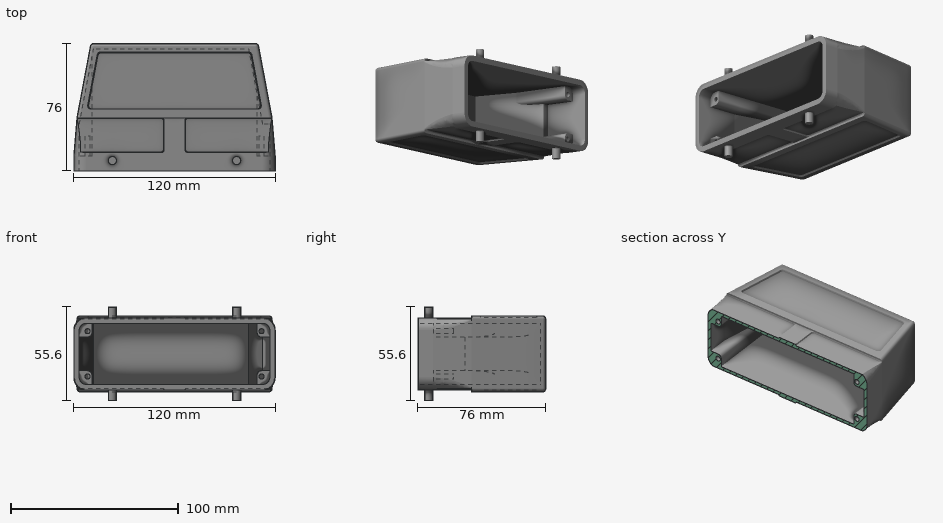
import cadquery as cq
import math


rim_half_width = 60.0
neck_half_height = 21.5
collar_depth = 9.0
collar_corner_radius = 7.5
mid_neck_y = 14.0
mid_neck_corner_radius = 7.0
shoulder_corner_radius = 1.5
corner_clearance = 1.0

shoulder_y = 31.8
shoulder_half_width = 58.1
back_y = 76.0
back_half_width = 49.8
hood_half_height = 22.65
hood_edge_radius = 2.0

back_wall = 3.2
mouth_half_width = 56.8
mouth_half_height = 18.2
mouth_corner_radius = 4.4
mouth_depth = 28.0
ledge_x = 52.5
chamber_back_y = back_y - back_wall
chamber_back_left_x = -48.3
chamber_back_right_x = 44.2

post_front_y = 9.0
post_inner_x = 49.2
post_inner_z = 10.0
post_corner_radius = 2.6
screw_x = 51.8
screw_z = 13.5
screw_diameter = 3.0
screw_depth = 12.0

pin_diameter = 4.9
pin_x = 37.0
pin_y = 6.3
pin_tip_z = 27.8
pin_root_z = (mouth_half_height + neck_half_height) / 2

recess_depth = 1.0
recess_draft = 0.5
recess_near_y = 37.0
recess_far_y = 70.9
recess_side_margin = 5.0
recess_corner_radius = 2.0

pocket_depth = 0.85
pocket_draft_angle = 25.0
pocket_inner_x = 6.2
pocket_outer_x = rim_half_width + 10.0
pocket_near_y = 11.1
pocket_corner_radius = 1.7

SIDES = (-1, 1)


def width_between(y, start_y, start_width, end_y, end_width):
    """Half width at y on the straight line between two known half widths."""
    return start_width + (end_width - start_width) * (y - start_y) / (end_y - start_y)


def neck_half_width(y):
    return width_between(y, collar_depth, rim_half_width, shoulder_y, shoulder_half_width)


def hood_half_width(y):
    return width_between(y, shoulder_y, shoulder_half_width, back_y, back_half_width)


def across_y(y):
    """Workplane facing +Y at depth y: its x axis is -X and its y axis is Z."""
    return cq.Workplane(cq.Plane(origin=(0, y, 0), xDir=(-1, 0, 0), normal=(0, 1, 0)))


def rounded_prism(start_y, end_y, half_width, half_height, radius):
    """Rounded rectangle extruded along Y."""
    block = across_y(start_y).rect(2 * half_width, 2 * half_height).extrude(end_y - start_y)
    return block.edges("|Y").fillet(radius)


def slab(points, half_height):
    """Polygon in XY extruded to half_height on both sides of the XY plane."""
    return cq.Workplane("XY").polyline(points).close().extrude(half_height, both=True)


def both_faces(tool):
    """The tool together with its mirror image across the XY plane."""
    return tool.union(tool.mirror("XY"))


def make_collar():
    return rounded_prism(0, collar_depth, rim_half_width, neck_half_height, collar_corner_radius)


def neck_corner_section(y, radius):
    """Material to remove around the rounded corner at +X +Z of the neck at depth y."""
    side = neck_half_width(y)
    top = neck_half_height
    arc_offset = radius * (1 - math.sqrt(0.5))
    section = (
        across_y(y)
        .moveTo(-side, top - radius)
        .threePointArc((-side + arc_offset, top - arc_offset), (-side + radius, top))
        .lineTo(-side + radius, top + corner_clearance)
        .lineTo(-side - corner_clearance, top + corner_clearance)
        .lineTo(-side - corner_clearance, top - radius)
        .close()
    )
    return section.val()


def make_neck():
    """Narrows towards the hood while its corner radius shrinks."""
    outline = [
        (-rim_half_width, collar_depth),
        (rim_half_width, collar_depth),
        (shoulder_half_width, shoulder_y),
        (-shoulder_half_width, shoulder_y),
    ]
    corner_sections = [
        neck_corner_section(collar_depth, collar_corner_radius),
        neck_corner_section(mid_neck_y, mid_neck_corner_radius),
        neck_corner_section(shoulder_y, shoulder_corner_radius),
    ]
    corner = cq.Workplane(cq.Solid.makeLoft(corner_sections))
    corners = both_faces(corner.union(corner.mirror("YZ")))
    return slab(outline, neck_half_height).cut(corners)


def make_hood():
    outline = [
        (-shoulder_half_width, shoulder_y),
        (shoulder_half_width, shoulder_y),
        (back_half_width, back_y),
        (-back_half_width, back_y),
    ]
    return slab(outline, hood_half_height).edges("not(<Y)").fillet(hood_edge_radius)


def make_cavity():
    mouth = rounded_prism(0, mouth_depth, mouth_half_width, mouth_half_height, mouth_corner_radius)
    chamber_outline = [
        (-mouth_half_width, mouth_depth),
        (ledge_x, mouth_depth),
        (chamber_back_right_x, chamber_back_y),
        (chamber_back_left_x, chamber_back_y),
    ]
    return mouth.union(slab(chamber_outline, mouth_half_height))


def make_screw_holes():
    holes = across_y(post_front_y).rect(2 * screw_x, 2 * screw_z, forConstruction=True).vertices()
    return holes.circle(screw_diameter / 2).extrude(screw_depth)


def make_posts(cavity):
    """Four corner posts, trimmed to the cavity so that they run back to its walls."""
    size_x = mouth_half_width - post_inner_x
    size_z = mouth_half_height - post_inner_z
    post = (
        across_y(post_front_y)
        .center(-post_inner_x - size_x / 2, post_inner_z + size_z / 2)
        .rect(size_x, size_z)
        .extrude(chamber_back_y - post_front_y)
        .edges("|Y and <X and <Z")
        .fillet(post_corner_radius)
    )
    pair = post.union(post.mirror("YZ"))
    return both_faces(pair).intersect(cavity)


def make_pins():
    pins = (
        cq.Workplane("XY", origin=(0, pin_y, pin_root_z))
        .pushPoints([(side * pin_x, 0) for side in SIDES])
        .circle(pin_diameter / 2)
        .extrude(pin_tip_z - pin_root_z)
    )
    return both_faces(pins)


def recess_section(z, inset):
    """Trapezoid parallel to the hood sides, with its sides and far edge moved in by the inset."""
    far_y = recess_far_y - inset
    near_x = hood_half_width(recess_near_y) - recess_side_margin - inset
    far_x = hood_half_width(far_y) - recess_side_margin - inset
    corners = [(-near_x, recess_near_y), (near_x, recess_near_y), (far_x, far_y), (-far_x, far_y)]
    section = cq.Sketch().polygon(corners + corners[:1]).vertices().fillet(recess_corner_radius)
    return section.moved(cq.Location(cq.Vector(0, 0, z)))


def make_recesses():
    floor = recess_section(hood_half_height - recess_depth, recess_draft)
    opening = recess_section(hood_half_height, 0)
    return both_faces(cq.Workplane("XY").placeSketch(floor, opening).loft(ruled=True))


def make_pockets():
    size_x = pocket_outer_x - pocket_inner_x
    size_y = shoulder_y - pocket_near_y
    outline = cq.Sketch().rect(size_x, size_y).vertices().fillet(pocket_corner_radius)
    pocket = (
        cq.Workplane("XY", origin=(pocket_inner_x + size_x / 2, pocket_near_y + size_y / 2, neck_half_height))
        .placeSketch(outline)
        .extrude(-pocket_depth, taper=pocket_draft_angle)
    )
    return both_faces(pocket.union(pocket.mirror("YZ")))


cavity = make_cavity()
shell = make_collar().union(make_neck()).union(make_hood()).cut(cavity)
shell = shell.cut(make_recesses()).cut(make_pockets())
result = shell.union(make_posts(cavity)).cut(make_screw_holes()).union(make_pins())